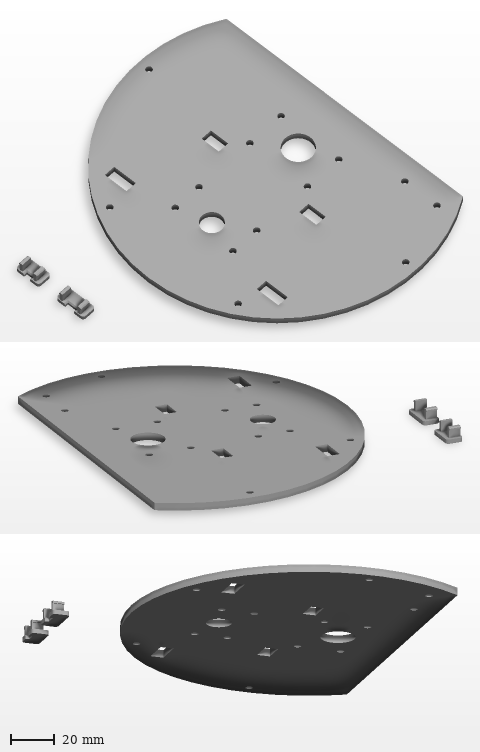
import cadquery as cq
import math

PLATE_RADIUS = 86.5
PLATE_THICKNESS = 3.6
FLAT_Y = 45.1

SCREW_DIAMETER = 3.5
RIM_CIRCLE_RADIUS = 80.0
RIM_ANGLES = (0, 180, 240, 300)
MOUNT_HALF_SPACING = 18.0
MOUNT_ROWS_Y = (21.8, 0.9, -33.2, -49.1)
CORNER_HOLES = ((48.5, 33.2), (68.6, 33.2))
REAR_OPENING_DIAMETER = 16.0
REAR_OPENING_Y = 14.0
FRONT_OPENING_DIAMETER = 12.0
FRONT_OPENING_Y = -44.0

SLOT_DEPTH = 6.2
SMALL_SLOT_LENGTH = 10.7
SMALL_SLOT_X = 30.5
SMALL_SLOT_Y = -9.2
LARGE_SLOT_LENGTH = 13.5
LARGE_SLOT_X = 47.4
LARGE_SLOT_Y = -54.3

CLIP_BACK_Y = -113.2
CLIP_BASE_HEIGHT = 2.0
CLIP_CORNER_RADIUS = 1.5
POST_THICKNESS = 1.5
POST_DEPTH = 5.7
POST_BACK_MARGIN = 2.0
POST_HEIGHT = 5.0
BARB_REACH = 0.5
BARB_LEDGE_HEIGHT = 3.8
BARB_EDGE_HEIGHT = 0.7
NOTCH_DEPTH = 1.9
NOTCH_CHAMFER = 0.7

SMALL_CLIP_X = -42.9
SMALL_CLIP_DROP = 0.2
SMALL_CLIP_LENGTH = 14.4
SMALL_CLIP_DEPTH = 8.3
SMALL_POST_SPAN = 10.0
SMALL_NOTCH_WIDTH = 3.8

LARGE_CLIP_X = -16.6
LARGE_CLIP_LENGTH = 17.1
LARGE_CLIP_DEPTH = 8.1
LARGE_POST_SPAN = 12.6
LARGE_NOTCH_WIDTH = 5.5


def cut_round_holes(body, points, diameter):
    drills = cq.Workplane("XY").pushPoints(points).circle(diameter / 2).extrude(PLATE_THICKNESS)
    return body.cut(drills)


def cut_slot_pair(body, x, y, length):
    centers = [(-x, y), (x, y)]
    slots = cq.Workplane("XY").pushPoints(centers).rect(length, SLOT_DEPTH).extrude(PLATE_THICKNESS)
    return body.cut(slots)


def make_plate():
    disc = cq.Workplane("XY").circle(PLATE_RADIUS).extrude(PLATE_THICKNESS)
    behind_flat = (
        cq.Workplane("XY")
        .center(0, FLAT_Y + PLATE_RADIUS / 2)
        .rect(2 * PLATE_RADIUS, PLATE_RADIUS)
        .extrude(PLATE_THICKNESS)
    )
    body = disc.cut(behind_flat)

    rim_holes = [
        (RIM_CIRCLE_RADIUS * math.cos(math.radians(angle)), RIM_CIRCLE_RADIUS * math.sin(math.radians(angle)))
        for angle in RIM_ANGLES
    ]
    body = cut_round_holes(body, rim_holes, SCREW_DIAMETER)

    mount_holes = [(side * MOUNT_HALF_SPACING, y) for y in MOUNT_ROWS_Y for side in (-1, 1)]
    body = cut_round_holes(body, mount_holes, SCREW_DIAMETER)
    body = cut_round_holes(body, CORNER_HOLES, SCREW_DIAMETER)
    body = cut_round_holes(body, [(0, REAR_OPENING_Y)], REAR_OPENING_DIAMETER)
    body = cut_round_holes(body, [(0, FRONT_OPENING_Y)], FRONT_OPENING_DIAMETER)
    body = cut_slot_pair(body, SMALL_SLOT_X, SMALL_SLOT_Y, SMALL_SLOT_LENGTH)
    return cut_slot_pair(body, LARGE_SLOT_X, LARGE_SLOT_Y, LARGE_SLOT_LENGTH)


def make_post(outer_x):
    """Right-hand snap post, its outer face at outer_x, with a barb pointing outward at the top."""
    inner_x = outer_x - POST_THICKNESS
    barb_x = outer_x + BARB_REACH
    return (
        cq.Workplane("XZ", origin=(0, -POST_BACK_MARGIN, 0))
        .moveTo(inner_x, 0)
        .lineTo(outer_x, 0)
        .lineTo(outer_x, BARB_LEDGE_HEIGHT)
        .lineTo(barb_x, BARB_LEDGE_HEIGHT)
        .lineTo(barb_x, BARB_LEDGE_HEIGHT + BARB_EDGE_HEIGHT)
        .lineTo(outer_x, POST_HEIGHT)
        .lineTo(inner_x, POST_HEIGHT)
        .close()
        .extrude(POST_DEPTH)
    )


def make_notch(width, clip_depth):
    """Cutter for the front notch, flaring at 45 degrees towards the top of the clip base."""
    straight = (
        cq.Workplane("XY", origin=(0, -clip_depth, -CLIP_BASE_HEIGHT))
        .rect(width, 2 * NOTCH_DEPTH)
        .extrude(CLIP_BASE_HEIGHT)
    )
    flare = (
        cq.Workplane("XY", origin=(0, -clip_depth, -NOTCH_CHAMFER))
        .rect(width, 2 * NOTCH_DEPTH)
        .workplane(offset=NOTCH_CHAMFER)
        .rect(width + 2 * NOTCH_CHAMFER, 2 * (NOTCH_DEPTH + NOTCH_CHAMFER))
        .loft()
    )
    return straight.union(flare)


def make_clip(x, length, depth, post_span, notch_width):
    """Snap clip with its base top at Z = 0 and two barbed posts."""
    base = (
        cq.Workplane("XY", origin=(0, -depth / 2, -CLIP_BASE_HEIGHT))
        .rect(length, depth)
        .extrude(CLIP_BASE_HEIGHT)
        .edges("|Z")
        .fillet(CLIP_CORNER_RADIUS)
    )
    body = base.cut(make_notch(notch_width, depth))
    post = make_post(post_span / 2)
    body = body.union(post).union(post.mirror("YZ"))
    return body.translate((x, CLIP_BACK_Y, 0))


plate = make_plate()
small_clip = make_clip(
    SMALL_CLIP_X, SMALL_CLIP_LENGTH, SMALL_CLIP_DEPTH, SMALL_POST_SPAN, SMALL_NOTCH_WIDTH
).translate((0, 0, -SMALL_CLIP_DROP))
large_clip = make_clip(
    LARGE_CLIP_X, LARGE_CLIP_LENGTH, LARGE_CLIP_DEPTH, LARGE_POST_SPAN, LARGE_NOTCH_WIDTH
)

result = cq.Compound.makeCompound([plate.val(), small_clip.val(), large_clip.val()])